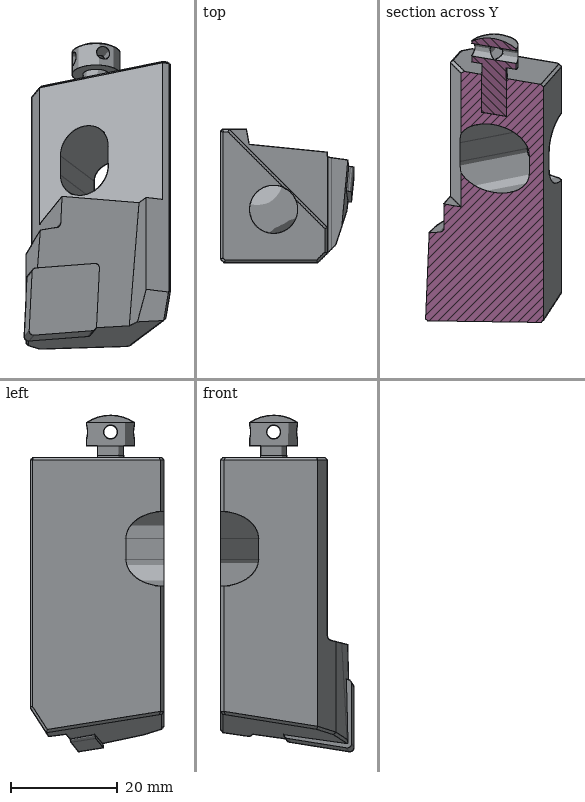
import cadquery as cq
import math

TOTAL_HEIGHT = 62.95
WIDTH = 25.0
DEPTH = 25.0
BODY_TOP = 55.1

SHANK_WIDTH = 20.0
FRONT_CORNER_CUT = 1.8
EDGE_CHAMFER = 0.5
FRONT_LEFT_CHAMFER = 0.7
BACK_CORNER_CHAMFER = 0.4
COLUMN_WIDTH = 4.9
BACK_STEP_RUN = 0.5
COLUMN_BACK = 24.8

DIAGONAL_SUM = 26.6
FLOOR_Z = 26.8

NOSE_FRONT_X = 21.6
NOSE_BEND_X = 23.75
NOSE_BEND_Y = 9.95
NOSE_BACK_X = 25.8
NOSE_RELIEF_X = 23.8
NOSE_RELIEF_Y_SLOPE = 0.09
NOSE_RELIEF_Z_SLOPE = 0.04
LEDGE_Z = 21.0
LEDGE_SLOPE = 0.25
LEDGE_FILLET = 0.95

TIP_X = WIDTH
TIP_Z = -0.145
TIP_Y = 15.9
RAKE_X_SLOPE = -0.1
RAKE_Z_SLOPE = 0.16

BOTTOM_Z = 7.2
BOTTOM_X_SLOPE = -0.16
BOTTOM_Y_SLOPE = -0.16
HEEL_Y = 21.85
HEEL_Z = 3.3
HEEL_SLOPE = 1.55
HEEL_MIDDLE_Z = HEEL_Z + HEEL_SLOPE * (DEPTH - HEEL_Y) / 2

SLOT_RADIUS = 5.05
SLOT_CENTER_Z = 37.95
SLOT_STRAIGHT = 3.9

SCREW_X = 9.95
SCREW_Y = 10.0
HEAD_DIAMETER = 9.0
HEAD_BOTTOM = 57.2
HEAD_RIM = 61.55
NECK_DIAMETER = 4.9
THREAD_DIAMETER = 5.0
THREAD_TOP = 55.4
THREAD_BOTTOM = 47.2
CROSS_HOLE_DIAMETER = 2.5
CROSS_HOLE_Z = 59.8

INSERT_HEIGHT = 12.85
INSERT_WIDTH = 12.7
INSERT_THICKNESS = 4.7
INSERT_CORNER_RADIUS = 0.8

MARGIN = 37.8


def half_space(origin, normal):
    """Large block that fills the side of a plane to which the normal points."""
    in_plane = cq.Vector(*normal).cross(cq.Vector(1, 1, 1))
    plane = cq.Plane(origin=origin, xDir=in_plane, normal=normal)
    return cq.Workplane(plane).rect(4 * MARGIN, 4 * MARGIN).extrude(2 * MARGIN)


def rake_y(x, z):
    """Y of the rake plane."""
    return TIP_Y + RAKE_X_SLOPE * (x - TIP_X) + RAKE_Z_SLOPE * z


RAKE_NORMAL = (-RAKE_X_SLOPE, 1, -RAKE_Z_SLOPE)


def block():
    """Full-height prism of the shank and the nose."""
    return (
        cq.Workplane("XY")
        .polyline([
            (0, FRONT_LEFT_CHAMFER),
            (FRONT_LEFT_CHAMFER, 0),
            (SHANK_WIDTH - FRONT_CORNER_CUT, 0),
            (NOSE_FRONT_X, NOSE_FRONT_X - SHANK_WIDTH + FRONT_CORNER_CUT),
            (NOSE_BEND_X, NOSE_BEND_Y),
            (NOSE_BACK_X, NOSE_BEND_Y),
            (NOSE_BACK_X, DEPTH),
            (BACK_CORNER_CHAMFER, DEPTH),
            (0, DEPTH - BACK_CORNER_CHAMFER),
        ])
        .close()
        .extrude(BODY_TOP)
    )


def nose_clearance():
    """Space right of the shank above the sloping ledge."""
    return (
        cq.Workplane("XZ")
        .polyline([
            (SHANK_WIDTH, BODY_TOP + MARGIN),
            (SHANK_WIDTH, LEDGE_Z),
            (SHANK_WIDTH + MARGIN, LEDGE_Z - LEDGE_SLOPE * MARGIN),
            (SHANK_WIDTH + MARGIN, BODY_TOP + MARGIN),
        ])
        .close()
        .extrude(-MARGIN)
        .edges(cq.selectors.NearestToPointSelector((SHANK_WIDTH, MARGIN / 2, LEDGE_Z)))
        .fillet(LEDGE_FILLET)
    )


def nose_relief():
    """Space outside the leaning right face of the nose."""
    origin = (NOSE_RELIEF_X, rake_y(NOSE_RELIEF_X, LEDGE_Z), LEDGE_Z)
    return half_space(origin, (1, -NOSE_RELIEF_Y_SLOPE, NOSE_RELIEF_Z_SLOPE))


def back_recess():
    """Space behind the rake plane, right of the back column."""
    step_depth = DEPTH - rake_y(COLUMN_WIDTH, FLOOR_Z)
    beside_column = half_space((COLUMN_WIDTH, COLUMN_BACK, 0), (step_depth, BACK_STEP_RUN, 0))
    behind_rake = half_space((TIP_X, TIP_Y, 0), RAKE_NORMAL)
    return beside_column.intersect(behind_rake)


def upper_cutaway():
    """Space above the floor, behind the diagonal wall."""
    return (
        cq.Workplane("XY", origin=(0, 0, FLOOR_Z))
        .polyline([
            (DIAGONAL_SUM - DEPTH - MARGIN, DEPTH + MARGIN),
            (DIAGONAL_SUM + MARGIN, -MARGIN),
            (DIAGONAL_SUM + MARGIN, DEPTH + MARGIN),
        ])
        .close()
        .extrude(MARGIN)
    )


def diagonal_slot():
    """Round-ended slot through the front left corner, at 45 degrees."""
    plane = cq.Plane(origin=(0, 0, SLOT_CENTER_Z), xDir=(0, 0, 1), normal=(1, 1, 0))
    slot_length = SLOT_STRAIGHT + 2 * SLOT_RADIUS
    return cq.Workplane(plane).slot2D(slot_length, 2 * SLOT_RADIUS).extrude(MARGIN, both=True)


def is_on_rim(point):
    """True for points on the front and left edges of the bottom face."""
    return point.y < DEPTH / 2 and point.x < NOSE_BEND_X - EDGE_CHAMFER


def make_housing(screw, insert):
    bottom_normal = cq.Vector(BOTTOM_X_SLOPE, BOTTOM_Y_SLOPE, -1)
    bottom = half_space((0, 0, BOTTOM_Z), bottom_normal.toTuple())
    heel = half_space((0, HEEL_Y, HEEL_Z), (0, HEEL_SLOPE, -1))
    body = block().cut(nose_relief()).cut(nose_clearance())
    body = body.cut(upper_cutaway())
    body = body.faces(">Z").chamfer(EDGE_CHAMFER)
    body = body.cut(bottom).cut(heel)
    bottom_face = body.faces(cq.selectors.DirectionMinMaxSelector(bottom_normal))
    rim_edges = [edge for edge in bottom_face.edges().vals() if is_on_rim(edge.Center())]
    heel_middle = (0, (HEEL_Y + DEPTH) / 2, HEEL_MIDDLE_Z)
    heel_edge = body.edges(cq.selectors.NearestToPointSelector(heel_middle)).val()
    body = body.newObject(rim_edges + [heel_edge]).chamfer(EDGE_CHAMFER)
    body = body.cut(back_recess())
    return body.cut(diagonal_slot()).cut(screw).cut(insert).solids()


def make_screw():
    head_radius = HEAD_DIAMETER / 2
    neck_radius = NECK_DIAMETER / 2
    thread_radius = THREAD_DIAMETER / 2
    dome_rise = TOTAL_HEIGHT - HEAD_RIM
    dome_radius = (head_radius ** 2 + dome_rise ** 2) / (2 * dome_rise)
    half_angle = math.asin(head_radius / dome_radius) / 2
    dome_mid = (
        dome_radius * math.sin(half_angle),
        TOTAL_HEIGHT - dome_radius * (1 - math.cos(half_angle)),
    )
    screw = (
        cq.Workplane("XZ", origin=(SCREW_X, SCREW_Y, 0))
        .moveTo(0, THREAD_BOTTOM)
        .lineTo(thread_radius, THREAD_BOTTOM)
        .lineTo(thread_radius, THREAD_TOP)
        .lineTo(neck_radius, THREAD_TOP)
        .lineTo(neck_radius, HEAD_BOTTOM)
        .lineTo(head_radius, HEAD_BOTTOM)
        .lineTo(head_radius, HEAD_RIM)
        .threePointArc(dome_mid, (0, TOTAL_HEIGHT))
        .close()
        .revolve(360, (0, 0, 0), (0, 1, 0))
    )
    for plane in ("XZ", "YZ"):
        hole = (
            cq.Workplane(plane, origin=(SCREW_X, SCREW_Y, CROSS_HOLE_Z))
            .circle(CROSS_HOLE_DIAMETER / 2)
            .extrude(HEAD_DIAMETER, both=True)
        )
        screw = screw.cut(hole)
    return screw.solids()


def make_insert():
    """Rhombic plate with straight sides, its cutting face in the rake plane."""
    plane = cq.Plane(origin=(TIP_X, TIP_Y, 0), xDir=(1, RAKE_X_SLOPE, 0), normal=RAKE_NORMAL)

    def corner(x, z):
        point = plane.toLocalCoords(cq.Vector(x, rake_y(x, z), z))
        return (point.x, point.y)

    left_x = TIP_X - INSERT_WIDTH
    left_z = TIP_Z - BOTTOM_X_SLOPE * INSERT_WIDTH
    outline = [
        corner(TIP_X, TIP_Z),
        corner(TIP_X, TIP_Z + INSERT_HEIGHT),
        corner(left_x, left_z + INSERT_HEIGHT),
        corner(left_x, left_z),
    ]
    sketch = cq.Sketch().polygon(outline + outline[:1]).vertices().fillet(INSERT_CORNER_RADIUS)
    return cq.Workplane(plane).placeSketch(sketch).extrude(-INSERT_THICKNESS)


clamp_screw = make_screw()
cutting_insert = make_insert()
housing = make_housing(clamp_screw, cutting_insert)

result = cq.Compound.makeCompound([housing.val(), clamp_screw.val(), cutting_insert.val()])